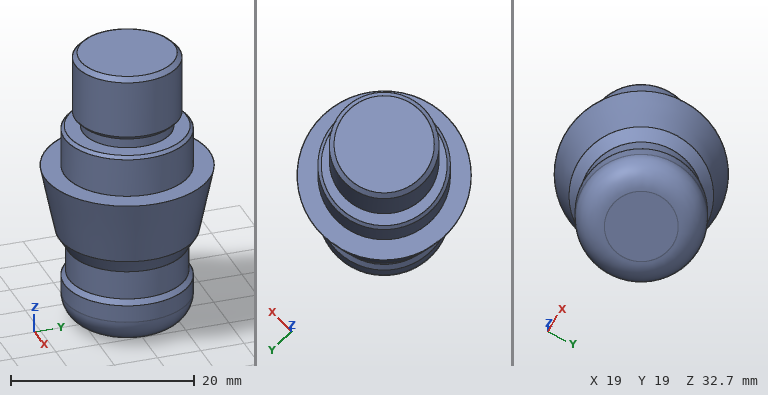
import cadquery as cq

total_height = 32.7
groove_bottom = 5.82
groove_top = 9.2
flange_bottom = 11.05
flange_top = 18.8
collar_top = 23.67
neck_top = 24.95

flange_radius = 19.0 / 2
flange_bottom_radius = 7.88
collar_radius = 7.23
nose_radius = collar_radius
groove_radius = 6.75
head_radius = 6.0
neck_radius = 5.1

nose_rounding = 3.2
nose_chamfer_height = 0.6
head_chamfer = 0.52
collar_chamfer = 0.35

profile = (
    cq.Workplane("XZ")
    .lineTo(nose_radius - nose_rounding, 0)
    .radiusArc((nose_radius, nose_rounding), -nose_rounding)
    .lineTo(nose_radius, groove_bottom - nose_chamfer_height)
    .lineTo(groove_radius, groove_bottom)
    .lineTo(groove_radius, groove_top)
    .lineTo(flange_bottom_radius, flange_bottom)
    .lineTo(flange_radius, flange_top)
    .lineTo(collar_radius, flange_top)
    .lineTo(collar_radius, collar_top - collar_chamfer)
    .lineTo(collar_radius - collar_chamfer, collar_top)
    .lineTo(neck_radius, collar_top)
    .lineTo(neck_radius, neck_top)
    .lineTo(head_radius - head_chamfer, neck_top)
    .lineTo(head_radius, neck_top + head_chamfer)
    .lineTo(head_radius, total_height - head_chamfer)
    .lineTo(head_radius - head_chamfer, total_height)
    .lineTo(0, total_height)
    .close()
)

result = profile.revolve(360, (0, 0, 0), (0, 1, 0))